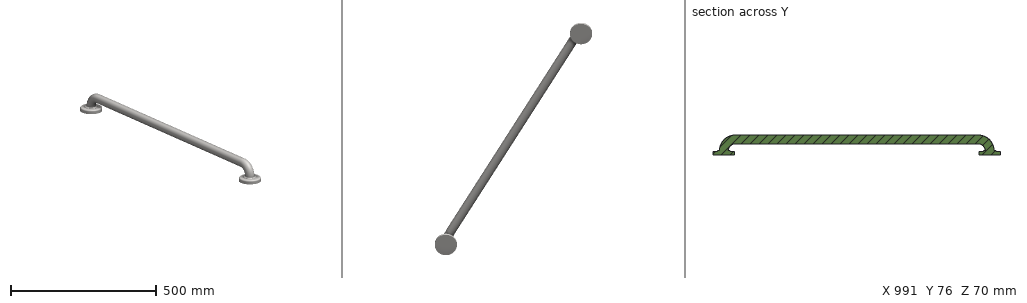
import cadquery as cq

overall_length = 991.0
overall_height = 70.0

flange_diameter = 76.0
flange_thickness = 14.0
flange_edge_fillet = 5.0

collar_diameter = 46.0
collar_height = 3.0
collar_chamfer = 2.0

tube_diameter = 32.0
bend_radius = 40.0

post_x = (overall_length - flange_diameter) / 2
tube_axis_z = overall_height - tube_diameter / 2
bend_start_z = tube_axis_z - bend_radius
straight_end_x = post_x - bend_radius


def make_flange(x):
    """Round wall flange with a rounded rim and a raised collar."""
    plate = (
        cq.Workplane("XY")
        .center(x, 0)
        .circle(flange_diameter / 2)
        .extrude(flange_thickness)
        .faces(">Z")
        .fillet(flange_edge_fillet)
    )
    collar = (
        cq.Workplane("XY", origin=(x, 0, flange_thickness))
        .circle(collar_diameter / 2)
        .extrude(collar_height)
        .faces(">Z")
        .chamfer(collar_chamfer)
    )
    return plate.union(collar)


def make_tube():
    """Round bar rising from one flange, bent along X and down to the other."""
    path = (
        cq.Workplane("XZ")
        .moveTo(-post_x, 0)
        .lineTo(-post_x, bend_start_z)
        .tangentArcPoint((-straight_end_x, tube_axis_z), relative=False)
        .lineTo(straight_end_x, tube_axis_z)
        .tangentArcPoint((post_x, bend_start_z), relative=False)
        .lineTo(post_x, 0)
    )
    return cq.Workplane("XY").center(-post_x, 0).circle(tube_diameter / 2).sweep(path)


result = make_tube()
for flange_x in (-post_x, post_x):
    result = result.union(make_flange(flange_x))